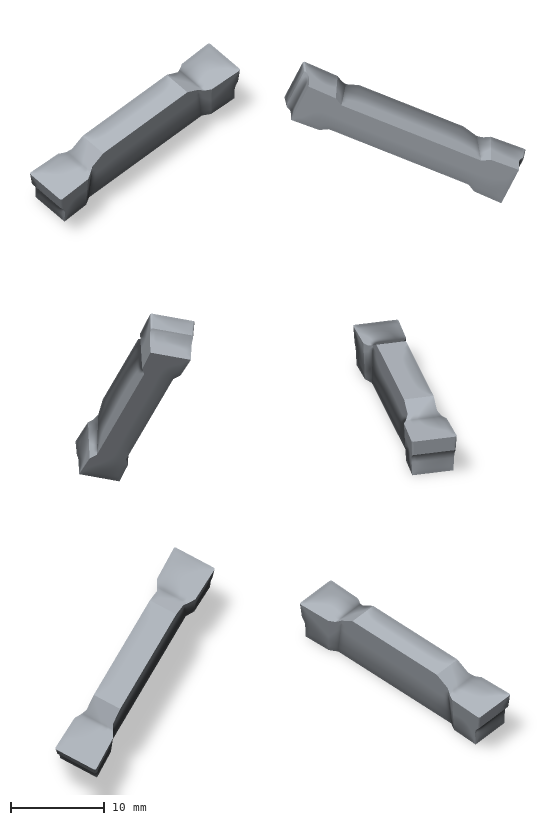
import cadquery as cq
import math

length = 26.1
height = 5.8
seat_height = 4.52
half_length = length / 2

cutting_width = 5.0
body_width = 3.25
head_back_width = 4.7
head_length = 4.07
shoulder_lean = 0.1
base_narrowing = 0.2
shoulder_angle = 30.0

ramp_foot = 4.78
ramp_head = 6.95
ramp_blend_radius = 0.45

clearance_setback = 0.18
corner_radius = 0.195
relief_top = 2.77
relief_tangent_height = 1.65
relief_depth = 0.73


def mirrored_outline(quarter):
    """Complete a closed outline from its points in the first quadrant."""
    right_side = quarter + [(x, -y) for x, y in reversed(quarter)]
    left_side = [(-x, -y) for x, y in right_side]
    return right_side + left_side


def plan_outline(z):
    """Plan of the insert at height z, following the drafted head flanks."""
    drop = (seat_height - z) / seat_height
    front_half = cutting_width / 2 - base_narrowing * drop
    back_half = head_back_width / 2 - base_narrowing * drop
    shoulder_start = head_length - shoulder_lean * drop
    shoulder_run = (back_half - body_width / 2) / math.tan(math.radians(shoulder_angle))
    quarter = [
        (body_width / 2, half_length - shoulder_start - shoulder_run),
        (back_half, half_length - shoulder_start),
        (front_half, half_length),
    ]
    return mirrored_outline(quarter[::-1])


def make_drafted_plan():
    return (
        cq.Workplane("XY")
        .polyline(plan_outline(0)).close()
        .workplane(offset=height)
        .polyline(plan_outline(height)).close()
        .loft(ruled=True)
    )


def make_side_profile():
    """Side silhouette with sloping end faces, raised body and blended ramps."""
    base_setback = clearance_setback * seat_height / (seat_height - relief_top)
    right_half = [
        (half_length - base_setback, 0),
        (half_length, seat_height),
        (half_length - ramp_foot, seat_height),
        (half_length - ramp_head, height),
    ]
    left_half = [(-y, z) for y, z in reversed(right_half)]
    profile = (
        cq.Workplane("YZ")
        .polyline(right_half + left_half).close()
        .extrude(cutting_width, both=True)
    )
    tolerance = 0.03
    for foot_y in (ramp_foot - half_length, half_length - ramp_foot):
        foot_edge = cq.selectors.BoxSelector(
            (-tolerance, foot_y - tolerance, seat_height - tolerance),
            (tolerance, foot_y + tolerance, seat_height + tolerance),
        )
        profile = profile.edges("|X").edges(foot_edge).fillet(ramp_blend_radius)
    return profile


def round_end_corners(body):
    """Round the upright edges between the end faces and the head flanks."""
    for end in (">Y", "<Y"):
        body = body.faces(end).edges("not |X").fillet(corner_radius)
    return body


def make_end_relief():
    """Cutter for the +Y end: concave arc running tangent into an upright face."""
    arc_rise = relief_top - relief_tangent_height
    arc_reach = relief_depth - clearance_setback
    radius = (arc_rise**2 + arc_reach**2) / (2 * arc_reach)
    wall_y = half_length - relief_depth
    half_angle = math.asin(arc_rise / radius) / 2
    arc_middle = (
        wall_y + radius * (1 - math.cos(half_angle)),
        relief_tangent_height + radius * math.sin(half_angle),
    )
    return (
        cq.Workplane("YZ")
        .moveTo(half_length, 0)
        .lineTo(wall_y, 0)
        .lineTo(wall_y, relief_tangent_height)
        .threePointArc(arc_middle, (half_length - clearance_setback, relief_top))
        .lineTo(half_length, relief_top)
        .close()
        .extrude(cutting_width, both=True)
    )


insert = make_drafted_plan().intersect(make_side_profile())
insert = round_end_corners(insert)
end_relief = make_end_relief()
result = insert.cut(end_relief).cut(end_relief.mirror("XZ"))